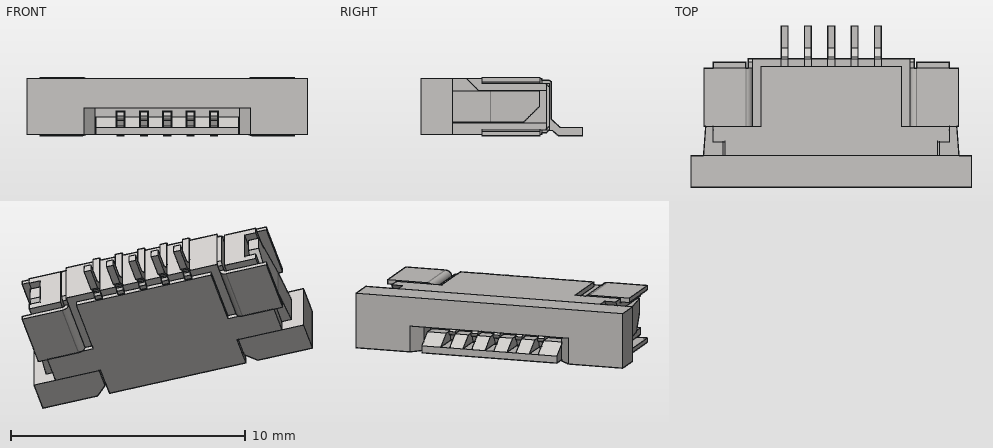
import cadquery as cq


BODY_HEIGHT = 2.4
SKIN = 0.2
RECESS_FRONT = 2.6
BODY_FRONT = 1.35
BODY_BACK = 5.5
CORE_HALF = 4.55
PLATE_HALF = 5.04
PLATE_BACK = 5.35
PLATE_FRONT = 1.95
ARM_SLOT_BOTTOM = 0.5
ARM_SLOT_TOP = BODY_HEIGHT - ARM_SLOT_BOTTOM
RAISED_HALF = 3.0
RAISED_BACK = 5.16

TONGUE_HALF = 3.04
TONGUE_LIP = 0.31
TONGUE_HEIGHT = 0.75
LEAD_IN_LENGTH = 0.77

SLIDER_WIDTH = 12.0
MOUTH_HALF = 3.1
MOUTH_HEIGHT = 1.14
MOUTH_FLARE = 0.47
ARM_CLEARANCE = 0.04
ARM_INNER = 4.63
ARM_ROOT_OUTER = 5.46
ARM_MIDDLE = 2.96
ARM_MIDDLE_OUTER = 5.34
ARM_END = 5.05
ARM_END_OUTER = 5.09
ARM_BEVEL_LENGTH = 0.66
ARM_BEVEL_HEIGHT = 0.66

CLIP_SHEET = 0.19
CLIP_PROUD = 0.05
CLIP_WEB = 3.36
CLIP_EDGE = 5.44
CLIP_BACK = 5.09
CLIP_BEND = 0.1
WEB_TAIL_INSET = 0.24
WEB_TAIL_BEVEL = 0.15

CONTACT_COUNT = 5
CONTACT_PITCH = 1.0
CONTACT_WIDTH = 0.3
CONTACT_BACK = 5.57
HOOK_HEIGHT = 0.13
HOOK_BEVEL = 0.1
HOOK_BEVEL_DROP = 0.06
TAIL_END = 6.9
TAIL_BOTTOM = -0.05
TAIL_TOP = 0.31
TAIL_BEND_TOP = 5.95
TAIL_BEND_BOTTOM = 5.87
SPINE_FOOT = 0.66
SPINE_BOTTOM = 0.17
SPINE_BOTTOM_BACK = 5.62
BEAM_TOP = 0.96
CHIN_BOTTOM = 0.37
NOSE_FRONT = 0.96
NOSE_TOP = 0.79
NOSE_RADIUS = 0.18
NOSE_SLOPE_LENGTH = 0.31
CHIN_SETBACK = 0.1
CHANNEL_WIDTH = 0.4
CHANNEL_TOP = 1.01
CHANNEL_BACK = 4.32


def block(x0, x1, y0, y1, z0, z1):
    return cq.Workplane("XY").box(x1 - x0, y1 - y0, z1 - z0, centered=False).translate((x0, y0, z0))


def centred_block(half_width, y0, y1, z0, z1):
    return block(-half_width, half_width, y0, y1, z0, z1)


def side_profile(points, x0, x1):
    """Extrude an outline of (y, z) points from x0 to x1."""
    return cq.Workplane("YZ").workplane(offset=x0).polyline(points).close().extrude(x1 - x0)


def mirrored(body):
    return body.mirror("YZ")


def contact_x(index):
    return (index - (CONTACT_COUNT - 1) / 2) * CONTACT_PITCH


def make_tongue():
    outline = [
        (0, 0),
        (0, TONGUE_LIP),
        (LEAD_IN_LENGTH, TONGUE_HEIGHT),
        (BODY_FRONT, TONGUE_HEIGHT),
        (BODY_FRONT, 0),
    ]
    return side_profile(outline, -TONGUE_HALF, TONGUE_HALF)


def make_upper_plate():
    """Plate over the arms; its front edge slopes back towards the underside."""
    outline = [
        (PLATE_FRONT, BODY_HEIGHT),
        (PLATE_FRONT + BODY_HEIGHT - ARM_SLOT_TOP, ARM_SLOT_TOP),
        (PLATE_BACK, ARM_SLOT_TOP),
        (PLATE_BACK, BODY_HEIGHT),
    ]
    return side_profile(outline, -PLATE_HALF, PLATE_HALF)


def make_recess(z0, z1):
    """Space around the raised middle that lowers the rear of one face by SKIN."""
    recess = centred_block(PLATE_HALF, RECESS_FRONT, BODY_BACK, z0, z1)
    return recess.cut(centred_block(RAISED_HALF, RECESS_FRONT, RAISED_BACK, z0, z1))


def make_housing(contacts):
    housing = centred_block(CORE_HALF, BODY_FRONT, PLATE_BACK, 0, BODY_HEIGHT)
    housing = housing.union(centred_block(CLIP_WEB, BODY_FRONT, BODY_BACK, 0, BODY_HEIGHT))
    housing = housing.union(centred_block(PLATE_HALF, BODY_FRONT, PLATE_BACK, 0, ARM_SLOT_BOTTOM))
    housing = housing.union(make_upper_plate())
    housing = housing.union(make_tongue())
    housing = housing.cut(make_recess(0, SKIN))
    housing = housing.cut(make_recess(BODY_HEIGHT - SKIN, BODY_HEIGHT))

    for index in range(CONTACT_COUNT):
        channel = centred_block(CHANNEL_WIDTH / 2, 0, CHANNEL_BACK, TONGUE_LIP, CHANNEL_TOP)
        housing = housing.cut(channel.translate((contact_x(index), 0, 0)))

    web_slot = block(CLIP_WEB, CLIP_WEB + CLIP_SHEET + CLIP_BEND, RECESS_FRONT, BODY_BACK, 0, BODY_HEIGHT)
    housing = housing.cut(web_slot).cut(mirrored(web_slot))

    for contact in contacts:
        housing = housing.cut(contact)
    return housing


def make_arm():
    arm_bottom = ARM_SLOT_BOTTOM + ARM_CLEARANCE
    arm_height = ARM_SLOT_TOP - ARM_CLEARANCE - arm_bottom
    outline = [
        (ARM_INNER, BODY_FRONT),
        (ARM_ROOT_OUTER, BODY_FRONT),
        (ARM_MIDDLE_OUTER, ARM_MIDDLE),
        (ARM_END_OUTER, ARM_END),
        (ARM_INNER, ARM_END),
    ]
    arm = cq.Workplane("XY").workplane(offset=arm_bottom).polyline(outline).close().extrude(arm_height)
    bevel = [
        (ARM_END, arm_bottom),
        (ARM_END - ARM_BEVEL_LENGTH, arm_bottom),
        (ARM_END, arm_bottom + ARM_BEVEL_HEIGHT),
    ]
    return arm.cut(side_profile(bevel, ARM_INNER, ARM_ROOT_OUTER))


def make_slider():
    slider = centred_block(SLIDER_WIDTH / 2, 0, BODY_FRONT, 0, BODY_HEIGHT)
    mouth_outer = MOUTH_HALF + MOUTH_FLARE
    mouth_outline = [
        (-mouth_outer, 0),
        (mouth_outer, 0),
        (MOUTH_HALF, MOUTH_FLARE),
        (MOUTH_HALF, BODY_FRONT),
        (-MOUTH_HALF, BODY_FRONT),
        (-MOUTH_HALF, MOUTH_FLARE),
    ]
    mouth = cq.Workplane("XY").polyline(mouth_outline).close().extrude(MOUTH_HEIGHT)
    arm = make_arm()
    return slider.cut(mouth).union(arm).union(mirrored(arm))


def make_clip():
    """C-shaped clip on the +X side: two flat tabs joined by a web that has a tail at the back."""
    bottom = -CLIP_PROUD
    top = BODY_HEIGHT + CLIP_PROUD
    web_outer = CLIP_WEB + CLIP_SHEET
    clip = block(CLIP_WEB, CLIP_EDGE, RECESS_FRONT, CLIP_BACK, bottom, top)
    clip = clip.edges("|Y and <X").fillet(CLIP_SHEET + CLIP_BEND)
    opening = block(web_outer, CLIP_EDGE, RECESS_FRONT, CLIP_BACK, bottom + CLIP_SHEET, top - CLIP_SHEET)
    opening = opening.edges("|Y and <X").fillet(CLIP_BEND)
    tail_top = BODY_HEIGHT - WEB_TAIL_INSET
    tail_outline = [
        (CLIP_BACK, WEB_TAIL_INSET),
        (PLATE_BACK, WEB_TAIL_INSET),
        (BODY_BACK, WEB_TAIL_INSET + WEB_TAIL_BEVEL),
        (BODY_BACK, tail_top - WEB_TAIL_BEVEL),
        (PLATE_BACK, tail_top),
        (CLIP_BACK, tail_top),
    ]
    return clip.cut(opening).union(side_profile(tail_outline, CLIP_WEB, web_outer))


def make_contact():
    """Contact with a beam in the channel, a spine hooked over the rear wall and a solder tail."""
    hook_top = BODY_HEIGHT - SKIN + HOOK_HEIGHT
    hook_bottom = SKIN - HOOK_HEIGHT
    chin_top = NOSE_TOP - NOSE_RADIUS
    chin_front = NOSE_FRONT + NOSE_RADIUS
    outline = (
        cq.Workplane("YZ").workplane(offset=-CONTACT_WIDTH / 2)
        .moveTo(BODY_BACK, BODY_HEIGHT - SKIN)
        .lineTo(RAISED_BACK, BODY_HEIGHT - SKIN)
        .lineTo(RAISED_BACK, hook_top)
        .lineTo(CONTACT_BACK - HOOK_BEVEL, hook_top)
        .lineTo(CONTACT_BACK, hook_top - HOOK_BEVEL_DROP)
        .lineTo(CONTACT_BACK, SPINE_FOOT)
        .lineTo(TAIL_BEND_TOP, TAIL_TOP)
        .lineTo(TAIL_END, TAIL_TOP)
        .lineTo(TAIL_END, TAIL_BOTTOM)
        .lineTo(TAIL_BEND_BOTTOM, TAIL_BOTTOM)
        .lineTo(SPINE_BOTTOM_BACK, SPINE_BOTTOM)
        .lineTo(PLATE_BACK + HOOK_BEVEL, SPINE_BOTTOM)
        .lineTo(PLATE_BACK, hook_bottom)
        .lineTo(RAISED_BACK, hook_bottom)
        .lineTo(RAISED_BACK, SKIN)
        .lineTo(BODY_BACK, SKIN)
        .lineTo(BODY_BACK, TONGUE_LIP)
        .lineTo(chin_front + CHIN_SETBACK, TONGUE_LIP)
        .lineTo(chin_front + CHIN_SETBACK, CHIN_BOTTOM)
        .lineTo(chin_front, chin_top)
        .radiusArc((NOSE_FRONT, NOSE_TOP), NOSE_RADIUS)
        .lineTo(NOSE_FRONT + NOSE_SLOPE_LENGTH, BEAM_TOP)
        .lineTo(BODY_BACK, BEAM_TOP)
        .close()
    )
    return outline.extrude(CONTACT_WIDTH)


slider = make_slider()
clip = make_clip()
clips = [clip, mirrored(clip)]
contact = make_contact()
contacts = [contact.translate((contact_x(index), 0, 0)) for index in range(CONTACT_COUNT)]
housing = make_housing(contacts)

bodies = [housing, slider] + clips + contacts
result = cq.Compound.makeCompound([body.solids().val() for body in bodies])